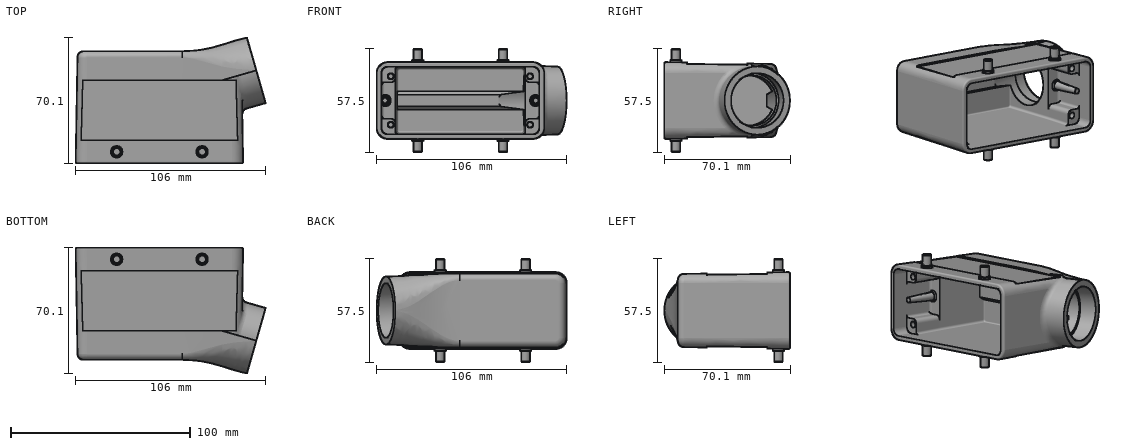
import cadquery as cq
import math


body_length = 93.5
body_width = 43.0
body_height = 62.6
body_corner_radius = 6.3
top_edge_radius = 3.5
rim_radius = 1.0
draft_angle = 1.0

mouth_length = 88.1
mouth_width = 37.8
mouth_corner_radius = 3.6
cavity_depth = 60.3
floor_radius = 0.8

ledge_depth = 27.5
ledge_half_length = 36.2
block_half_length_at_ceiling = 35.1
post_depth = 9.8
post_half_gap = 10.2
post_corner_radius = 2.5
block_root_radius = 1.4
screw_x = 38.8
screw_z = 13.5
screw_bottom_diameter = 3.0
screw_mouth_diameter = 3.5
screw_hole_depth = 15.0

guide_x = 42.0
guide_depth = 9.3
guide_base_diameter = 4.9
guide_tip_diameter = 3.0
guide_foot_diameter = 6.5

rib_half_base = 5.2
rib_half_tip = 3.3
rib_height = 3.3

panel_bottom = 12.8
panel_top = 46.3
panel_half_length_bottom = 43.6
panel_half_length_top = 42.7
panel_depth = 0.9

nozzle_angle = 16.0
nozzle_radius = 19.0
nozzle_reach_x = 59.29
nozzle_reach_y = 70.13
bore_diameter = 28.0
bore_length = 48.0
thread_diameter = 30.5
thread_depth = 10.0
nozzle_length = 18.0
neck_radius = 3.0

roof_start_x = 12.8
roof_loft_depth = 24.0
roof_end_flat = 0.1
bend_sections = 4

pin_x = 23.8
pin_y = 6.5
pin_diameter = 4.9
pin_span = 57.5
pin_chamfer = 0.4
collar_diameter = 6.5
collar_span = 45.5
collar_chamfer = 0.4

tilt = math.radians(nozzle_angle)
mouth_x = nozzle_reach_x - nozzle_radius * math.sin(tilt)
mouth_y = nozzle_reach_y - nozzle_radius * math.cos(tilt)
mouth_top_x = mouth_x - nozzle_radius * math.sin(tilt)
mouth_top_y = nozzle_reach_y
bend_vertex_x = mouth_top_x - (mouth_top_y - body_height) / math.tan(tilt)
draft_slope = math.tan(math.radians(draft_angle))
roof_start_half_width = body_width / 2 - (body_height - top_edge_radius) * draft_slope
bend_radius = (bend_vertex_x - roof_start_x) / math.tan(tilt / 2)


def prism_along_y(length, width, corner_radius, start, height):
    """Rounded rectangle in XZ, drafted inwards while it rises along +Y."""
    base = cq.Plane(origin=(0, start, 0), xDir=(1, 0, 0), normal=(0, 1, 0))
    outline = cq.Sketch().rect(length, width).vertices().fillet(corner_radius)
    return cq.Workplane(base).placeSketch(outline).extrude(height, taper=draft_angle)


def nozzle_cylinder(diameter, length):
    """Cylinder from the nozzle mouth back along the nozzle axis."""
    mouth = cq.Plane(
        origin=(mouth_x, mouth_y, 0),
        xDir=(0, 0, 1),
        normal=(-math.cos(tilt), -math.sin(tilt), 0),
    )
    return cq.Workplane(mouth).circle(diameter / 2).extrude(length)


def make_shell():
    shell = prism_along_y(body_length, body_width, body_corner_radius, 0, body_height)
    shell = shell.faces(">Y").edges().fillet(top_edge_radius)
    return shell.faces("<Y").edges().fillet(rim_radius)


def make_panels():
    """Cutter for the two panels; each floor follows the draft of its face."""
    outer_z = body_width
    floor_bottom = body_width / 2 - panel_bottom * draft_slope - panel_depth
    floor_top = body_width / 2 - panel_top * draft_slope - panel_depth
    section = [
        (panel_bottom, floor_bottom),
        (panel_top, floor_top),
        (panel_top, outer_z),
        (panel_bottom, outer_z),
    ]
    outline = [
        (-panel_half_length_bottom, panel_bottom),
        (panel_half_length_bottom, panel_bottom),
        (panel_half_length_top, panel_top),
        (-panel_half_length_top, panel_top),
    ]
    strip = cq.Workplane("YZ").polyline(section).close().extrude(body_length / 2, both=True)
    trim = cq.Workplane("XY").polyline(outline).close().extrude(outer_z)
    panel = strip.intersect(trim)
    return panel.union(panel.mirror("XY"))


def make_roof_region():
    """Everything above the panel's upper edge between the roof start and the nozzle mouth."""
    shoulder_x = mouth_x - (mouth_y - panel_top) / math.tan(tilt)
    clear_rise = body_width
    return (
        cq.Workplane("XY")
        .polyline([
            (roof_start_x, panel_top),
            (roof_start_x, body_height + clear_rise),
            (mouth_x - clear_rise * math.tan(tilt), mouth_y + clear_rise),
            (mouth_x, mouth_y),
            (shoulder_x, panel_top),
        ])
        .close()
        .extrude(body_width, both=True)
    )


def roof_section(x, y, angle, progress):
    """Round-shouldered cross-section hanging below the roof line at (x, y)."""
    blend = progress**2 * (3 - 2 * progress)
    half_width = roof_start_half_width + (nozzle_radius - roof_start_half_width) * blend
    end_radius = nozzle_radius - roof_end_flat
    radius = top_edge_radius + (end_radius - top_edge_radius) * blend
    plane = cq.Plane(
        origin=(x, y, 0),
        xDir=(0, 0, -1),
        normal=(math.cos(angle), math.sin(angle), 0),
    )
    flare = (roof_loft_depth - radius) * draft_slope * (1 - blend)
    foot_half_width = half_width + flare
    flat = half_width - radius
    diagonal = radius * math.sqrt(0.5)
    outline = (
        cq.Workplane(plane)
        .moveTo(-foot_half_width, -roof_loft_depth)
        .lineTo(-half_width, -radius)
        .threePointArc((-flat - diagonal, diagonal - radius), (-flat, 0))
        .lineTo(flat, 0)
        .threePointArc((flat + diagonal, diagonal - radius), (half_width, -radius))
        .lineTo(foot_half_width, -roof_loft_depth)
        .close()
    )
    return outline.wires().val()


def make_roof():
    straight = math.hypot(
        mouth_top_x - roof_start_x - bend_radius * math.sin(tilt),
        mouth_top_y - body_height - bend_radius * (1 - math.cos(tilt)),
    )
    total = bend_radius * tilt + straight
    sections = []
    for step in range(bend_sections + 1):
        angle = tilt * step / bend_sections
        x = roof_start_x + bend_radius * math.sin(angle)
        y = body_height + bend_radius * (1 - math.cos(angle))
        sections.append(roof_section(x, y, angle, bend_radius * angle / total))
    sections.append(roof_section(mouth_top_x, mouth_top_y, tilt, 1.0))
    return cq.Workplane(cq.Solid.makeLoft(sections, False))


def make_end_blocks():
    """Solid ends of the cavity, with two screw posts standing on each ledge."""
    far = body_length / 2
    lean = (ledge_half_length - block_half_length_at_ceiling) / (cavity_depth - ledge_depth)
    end_depth = body_height
    block_end = ledge_half_length - lean * (end_depth - ledge_depth)
    block = (
        cq.Workplane("XY")
        .polyline([
            (ledge_half_length, ledge_depth),
            (block_end, end_depth),
            (far, end_depth),
            (far, ledge_depth),
        ])
        .close()
        .extrude(body_width / 2)
    )
    post_width = body_width / 2 - post_half_gap
    post = (
        cq.Workplane("XY")
        .box(far - ledge_half_length, end_depth - post_depth, post_width, centered=False)
        .edges("<X and <Z")
        .fillet(post_corner_radius)
        .translate((ledge_half_length, post_depth, post_half_gap))
    )
    half = block.union(post)
    right = half.union(half.mirror("XY"))
    return right.union(right.mirror("YZ"))


def make_guide(side):
    base = cq.Plane(origin=(side * guide_x, ledge_depth, 0), xDir=(1, 0, 0), normal=(0, -1, 0))
    foot = (guide_foot_diameter - guide_base_diameter) / 2
    cone = (
        cq.Workplane(base)
        .circle(guide_base_diameter / 2)
        .workplane(offset=ledge_depth - guide_depth)
        .circle(guide_tip_diameter / 2)
        .loft()
    )
    flare = (
        cq.Workplane(base)
        .circle(guide_foot_diameter / 2)
        .workplane(offset=foot)
        .circle(guide_base_diameter / 2)
        .loft()
    )
    return cone.union(flare)


def make_rib():
    tip_y = cavity_depth - rib_height
    section = [
        (cavity_depth, -rib_half_base),
        (tip_y, -rib_half_tip),
        (tip_y, rib_half_tip),
        (cavity_depth, rib_half_base),
    ]
    return cq.Workplane("YZ").polyline(section).close().extrude(ledge_half_length, both=True)


def round_cavity_corners(cavity):
    """Round the cavity where posts and end blocks meet its side walls and end walls."""
    end_wall = mouth_length / 2
    side_wall = mouth_width / 2
    margin = 0.2
    for side in (-1, 1):
        pocket_edges = cq.selectors.BoxSelector(
            (side * (end_wall - floor_radius), post_depth - margin, -post_half_gap - margin),
            (side * (end_wall + margin), ledge_depth + margin, post_half_gap + margin),
            boundingbox=True,
        )
        cavity = cavity.edges(pocket_edges).fillet(block_root_radius)
        for flank in (-1, 1):
            block_roots = cq.selectors.BoxSelector(
                (side * block_half_length_at_ceiling, post_depth, flank * (side_wall - block_root_radius)),
                (side * (ledge_half_length + margin), cavity_depth - margin, flank * side_wall),
            )
            cavity = cavity.edges(block_roots).fillet(block_root_radius)
    return cavity


def make_cavity():
    cavity = prism_along_y(mouth_length, mouth_width, mouth_corner_radius, 0, cavity_depth)
    cavity = cavity.cut(make_end_blocks())
    cavity = round_cavity_corners(cavity)
    cavity = cavity.faces(">Y").edges().fillet(floor_radius)
    for side in (-1, 1):
        cavity = cavity.cut(make_guide(side))
    return cavity.cut(make_rib())


def make_screw_holes():
    centres = [(x, z) for x in (-screw_x, screw_x) for z in (-screw_z, screw_z)]
    face = cq.Workplane(cq.Plane(origin=(0, post_depth, 0), xDir=(1, 0, 0), normal=(0, 1, 0)))
    narrowing = (screw_mouth_diameter - screw_bottom_diameter) / 2
    hole_taper = math.degrees(math.atan2(narrowing, screw_hole_depth))
    mouths = face.pushPoints(centres).circle(screw_mouth_diameter / 2)
    return mouths.extrude(screw_hole_depth, taper=hole_taper)


def make_pins():
    """Chamfered pins with collars, kept only outside the side walls."""
    pins = cq.Workplane("XY")
    for side in (-1, 1):
        for x in (-pin_x, pin_x):
            plane = cq.Plane(origin=(x, pin_y, 0), xDir=(1, 0, 0), normal=(0, 0, side))
            root = cq.Workplane(plane).workplane(offset=mouth_width / 2 + rim_radius)
            pin_length = pin_span / 2 - mouth_width / 2 - rim_radius
            collar_length = collar_span / 2 - mouth_width / 2 - rim_radius
            pin = root.circle(pin_diameter / 2).extrude(pin_length)
            pin = pin.faces(">Z" if side > 0 else "<Z").chamfer(pin_chamfer)
            collar = root.circle(collar_diameter / 2).extrude(collar_length)
            collar = collar.faces(">Z" if side > 0 else "<Z").chamfer(collar_chamfer)
            pins = pins.add(pin.union(collar))
    return pins.combine()


def round_neck(outer):
    """Round the inside corner where the nozzle leaves the end wall."""
    neck_edges = cq.selectors.BoxSelector(
        (ledge_half_length, mouth_y - 1.5 * nozzle_radius, -nozzle_radius),
        (body_length / 2, panel_top, nozzle_radius),
    )
    return outer.edges(neck_edges).fillet(neck_radius)


region = make_roof_region()
outer = make_shell().cut(make_panels()).cut(region)
outer = outer.union(nozzle_cylinder(2 * nozzle_radius, nozzle_length).cut(region))
outer = round_neck(outer)
outer = outer.union(make_roof().intersect(region))

result = outer.cut(make_cavity())
result = result.cut(nozzle_cylinder(bore_diameter, bore_length))
result = result.cut(nozzle_cylinder(thread_diameter, thread_depth))
result = result.cut(make_screw_holes())
result = result.union(make_pins())